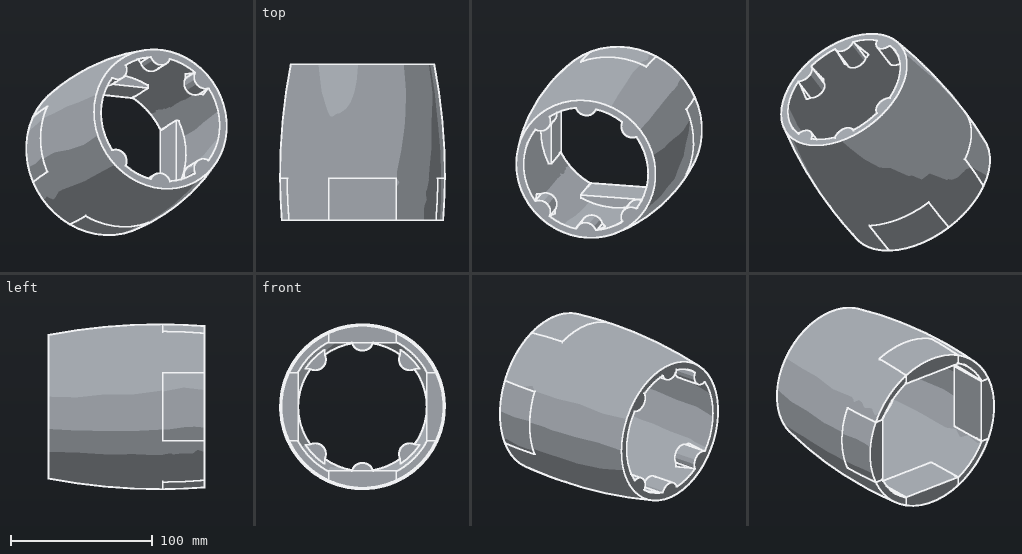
import cadquery as cq
import math

length = 110.0
belly_radius = 58.2
belly_y = 31.4
back_radius = 50.6
inner_front_radius = 51.4
inner_back_radius = 45.1

pad_count = 4
pad_width = 47.7
pad_depth = 29.5
pad_inner_distance = 45.1

lug_radius = 7.7
lug_center_distance = 47.1
lug_length = 18.6
root_start_distance = 44.7
root_end_distance = 48.8
root_half_width = 7.0
lug_angles = [45, 90, 135, 225, 270, 315]

belly_drop = belly_radius - back_radius
back_span = length - belly_y
outer_arc_radius = (back_span**2 + belly_drop**2) / (2 * belly_drop)
arc_center_x = belly_radius - outer_arc_radius


def outer_radius_at(y):
    return arc_center_x + math.sqrt(outer_arc_radius**2 - (y - belly_y)**2)


outer_front_radius = outer_radius_at(0)
middle_y = length / 2
bulge = outer_radius_at(middle_y) - (outer_front_radius + back_radius) / 2
inner_middle_radius = (inner_front_radius + inner_back_radius) / 2 + bulge


def revolve_barrel(front_radius, middle_radius, end_radius):
    """Solid of revolution about Y below an arc through three radii."""
    return (
        cq.Workplane("XY")
        .lineTo(front_radius, 0)
        .threePointArc((middle_radius, middle_y), (end_radius, length))
        .lineTo(0, length)
        .close()
        .revolve(360, (0, 0, 0), (0, 1, 0))
    )


outer_barrel = revolve_barrel(outer_front_radius, outer_radius_at(middle_y), back_radius)
bore = revolve_barrel(inner_front_radius, inner_middle_radius, inner_back_radius)


def make_pad(angle):
    """Block with a flat inner face, trimmed to the outer barrel surface."""
    block = cq.Workplane("XY").box(
        pad_width, pad_depth, belly_radius - pad_inner_distance, centered=(True, False, False)
    ).translate((0, 0, pad_inner_distance))
    return block.rotate((0, 0, 0), (0, 1, 0), angle).intersect(outer_barrel)


def make_lug(angle):
    """Round lug at the back end with a flared root that reaches into the wall."""
    root_end_half_width = root_half_width + root_end_distance - root_start_distance
    back_plane = cq.Workplane("XZ", origin=(0, length, 0))
    round_part = back_plane.center(lug_center_distance, 0).circle(lug_radius).extrude(lug_length)
    root = (
        back_plane
        .polyline([
            (root_start_distance, -root_half_width),
            (root_end_distance, -root_end_half_width),
            (root_end_distance, root_end_half_width),
            (root_start_distance, root_half_width),
        ])
        .close()
        .extrude(lug_length)
    )
    lug = round_part.union(root)
    return lug.rotate((0, 0, 0), (0, 1, 0), -angle)


pads = [make_pad(i * 360 / pad_count) for i in range(pad_count)]

hollow = bore
for lug_angle in lug_angles:
    hollow = hollow.cut(make_lug(lug_angle))
sleeve = outer_barrel.cut(hollow)
for pad in pads:
    sleeve = sleeve.cut(pad)

result = cq.Compound.makeCompound([sleeve.val(), *[pad.val() for pad in pads]])